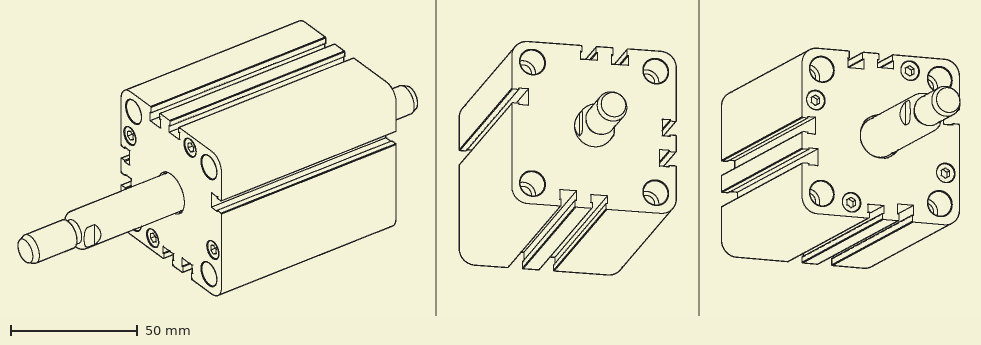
import cadquery as cq
import math

TOTAL_LENGTH = 188.5
BODY_SIZE = 67.0
BODY_LENGTH = 85.5
REAR_ROD_LENGTH = 31.5
CORNER_RADIUS = 6.5
BODY_REAR = TOTAL_LENGTH / 2 - REAR_ROD_LENGTH
BODY_FRONT = BODY_REAR - BODY_LENGTH

MOUNT_OFFSET = 25.0
MOUNT_DIAMETER = 6.6
MOUNT_BORE_DIAMETER = 10.0
MOUNT_BORE_DEPTH = 14.9
MOUNT_MOUTH_DIAMETER = 10.5
MOUNT_MOUTH_DEPTH = 0.28

SCREW_ALONG = 12.5
SCREW_INSET = 5.8
SCREW_HEAD_DIAMETER = 7.5
SCREW_POCKET_DIAMETER = 8.0
SCREW_POCKET_DEPTH = 5.7
SCREW_HEAD_RECESS = 0.4
SOCKET_ACROSS_FLATS = 3.5
SOCKET_DEPTH = 2.8

SLOT_MOUTH = 5.7
SLOT_WIDTH = 6.8
SLOT_EDGE_CHAMFER = 0.28
SHALLOW_SLOT_OFFSET = 2.0
SHALLOW_SLOT_DEPTH = 5.7
SHALLOW_SLOT_LIP = 2.5
DEEP_SLOT_OFFSET = -10.5
DEEP_SLOT_DEPTH = 6.8
DEEP_SLOT_LIP = 2.8

ROD_DIAMETER = 16.0
SHOULDER_RADIUS = 2.0
THREAD_DIAMETER = 12.0
THREAD_LENGTH = 21.0
NECK_DIAMETER = 10.0
NECK_LENGTH = 3.0
NECK_TAPER_LENGTH = 0.5
TIP_CHAMFER_LENGTH = 2.5
FLAT_WIDTH = 13.0
FLAT_LENGTH = 5.3
FLAT_RAMP_LENGTH = 1.9
ROD_SEAT_DIAMETER = 17.5
ROD_SEAT_DEPTH = 1.9


def cylinder(x, z, diameter, y_start, y_end):
    """Round bar along Y between two Y positions."""
    return cq.Workplane("XZ", origin=(x, y_start, z)).circle(diameter / 2).extrude(y_start - y_end)


def turned_solid(rear_half):
    """Solid of revolution about Y from (radius, y) points, mirrored about Y = 0."""
    front_half = [(r, -y) for r, y in reversed(rear_half)]
    end_y = rear_half[-1][1]
    outline = [(0, -end_y)] + front_half + rear_half + [(0, end_y)]
    return cq.Workplane("XY").polyline(outline).close().revolve(360, (0, 0, 0), (0, 1, 0))


def quarter_turns(shape, count):
    """Copies of a shape turned about Y, from the top side toward -X, -Z and +X."""
    return [shape.rotate((0, 0, 0), (0, 1, 0), -90 * turn) for turn in range(count)]


def body_block():
    block = cq.Workplane("XY").box(BODY_SIZE, BODY_LENGTH, BODY_SIZE)
    block = block.edges("|Y").fillet(CORNER_RADIUS)
    return block.translate((0, (BODY_FRONT + BODY_REAR) / 2, 0))


def t_slot(offset, depth, lip):
    """Slot opening upward in the top side of the body, centred at X = offset."""
    mouth_half = SLOT_MOUTH / 2
    wide_half = SLOT_WIDTH / 2
    right_side = [
        (mouth_half + SLOT_EDGE_CHAMFER, 0),
        (mouth_half, -SLOT_EDGE_CHAMFER),
        (mouth_half, -lip),
        (wide_half, -lip),
        (wide_half, -depth),
    ]
    left_side = [(-x, z) for x, z in reversed(right_side)]
    return (
        cq.Workplane("XZ", origin=(offset, BODY_FRONT, BODY_SIZE / 2))
        .polyline(right_side + left_side)
        .close()
        .extrude(-BODY_LENGTH)
    )


def mounting_hole(x, z):
    """Revolved cutter with a stepped and flared mouth at each end of the body."""
    half = BODY_LENGTH / 2
    bore_r = MOUNT_BORE_DIAMETER / 2
    hole_r = MOUNT_DIAMETER / 2
    rear_half = [
        (hole_r, half - MOUNT_BORE_DEPTH),
        (bore_r, half - MOUNT_BORE_DEPTH),
        (bore_r, half - MOUNT_MOUTH_DEPTH),
        (MOUNT_MOUTH_DIAMETER / 2, half),
    ]
    return turned_solid(rear_half).translate((x, (BODY_FRONT + BODY_REAR) / 2, z))


def screw_recess(x, z):
    """Space around a socket head screw in the front face, with its hexagon socket."""
    head_top = BODY_FRONT + SCREW_HEAD_RECESS
    pocket_floor = BODY_FRONT + SCREW_POCKET_DEPTH
    pocket = cylinder(x, z, SCREW_POCKET_DIAMETER, BODY_FRONT, pocket_floor)
    head = cylinder(x, z, SCREW_HEAD_DIAMETER, head_top, pocket_floor)
    socket_diameter = SOCKET_ACROSS_FLATS / math.cos(math.pi / 6)
    socket = (
        cq.Workplane("XZ", origin=(x, BODY_FRONT, z))
        .transformed(rotate=(0, 0, 90))
        .polygon(6, socket_diameter)
        .extrude(-SCREW_HEAD_RECESS - SOCKET_DEPTH)
    )
    return pocket.cut(head).union(socket)


def rod():
    """Turned profile, symmetric end for end, with wrench flats at both shoulders."""
    half = TOTAL_LENGTH / 2
    thread_start = half - THREAD_LENGTH
    shoulder = thread_start - NECK_LENGTH
    rod_r = ROD_DIAMETER / 2
    thread_r = THREAD_DIAMETER / 2
    neck_r = NECK_DIAMETER / 2
    rear_half = [
        (rod_r, shoulder),
        (neck_r, shoulder),
        (neck_r, thread_start - NECK_TAPER_LENGTH),
        (thread_r, thread_start),
        (thread_r, half - TIP_CHAMFER_LENGTH),
        (neck_r, half),
    ]
    turned = turned_solid(rear_half)
    shoulder_rims = cq.selectors.RadiusNthSelector(-1)
    turned = turned.edges(shoulder_rims).fillet(SHOULDER_RADIUS)

    flat_half = FLAT_WIDTH / 2
    flat_end = shoulder - FLAT_LENGTH
    flat_profile = [
        (flat_half, flat_end),
        (flat_half, shoulder),
        (rod_r, shoulder),
        (rod_r, flat_end - FLAT_RAMP_LENGTH),
    ]
    flat = (
        cq.Workplane("XY", origin=(0, 0, -rod_r))
        .polyline(flat_profile)
        .close()
        .extrude(ROD_DIAMETER)
    )
    for side in (flat, flat.mirror("YZ")):
        turned = turned.cut(side).cut(side.mirror("XZ"))
    return turned


def build():
    part = body_block()
    for slot in quarter_turns(t_slot(DEEP_SLOT_OFFSET, DEEP_SLOT_DEPTH, DEEP_SLOT_LIP), 4):
        part = part.cut(slot)
    shallow = t_slot(SHALLOW_SLOT_OFFSET, SHALLOW_SLOT_DEPTH, SHALLOW_SLOT_LIP)
    for slot in quarter_turns(shallow, 3):
        part = part.cut(slot)
    screw_across = BODY_SIZE / 2 - SCREW_INSET
    for side in (-1, 1):
        part = part.cut(screw_recess(side * SCREW_ALONG, side * screw_across))
        part = part.cut(screw_recess(side * screw_across, -side * SCREW_ALONG))
    for x in (-MOUNT_OFFSET, MOUNT_OFFSET):
        for z in (-MOUNT_OFFSET, MOUNT_OFFSET):
            part = part.cut(mounting_hole(x, z))
    part = part.cut(cylinder(0, 0, ROD_SEAT_DIAMETER, BODY_FRONT, BODY_FRONT + ROD_SEAT_DEPTH))
    return part.union(rod())


result = build()